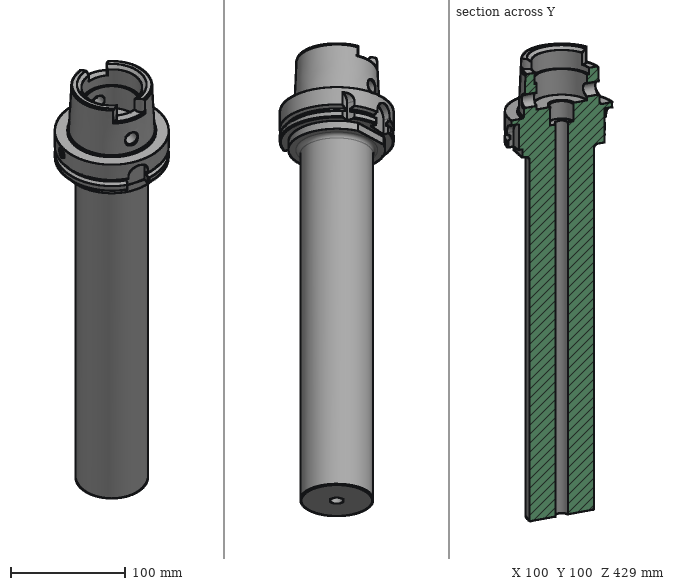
import cadquery as cq
import math

TOTAL_LENGTH = 429.0
SHANK_HEIGHT = 50.0
BOTTOM_Z = SHANK_HEIGHT - TOTAL_LENGTH

TAPER_BASE_RADIUS = 37.7
TAPER_TOP_RADIUS = 35.5
RIM_CHAMFER_WIDTH = 1.0
RIM_CHAMFER_HEIGHT = 1.7
BASE_FLARE = 1.5

FLANGE_DIAMETER = 100.0
FLANGE_RADIUS = FLANGE_DIAMETER / 2
FLANGE_THICKNESS = 29.0
GROOVE_FLOOR_RADIUS = 46.5
FLANGE_CHAMFER = 1.0
GROOVE_MID_Z = -20.0
GROOVE_MOUTH = 6.5
GROOVE_FLOOR_WIDTH = 2.0

COLLAR_RADIUS = 42.5
COLLAR_THICKNESS = 7.7
COLLAR_FLAT_DISTANCE = 38.5
COLLAR_FLAT_TURN = -6.0
BAR_DIAMETER = 64.0
BAR_RADIUS = BAR_DIAMETER / 2
BAR_FILLET = 4.0
BAR_CHAMFER = 1.0

MOUTH_RADIUS = 30.5
MOUTH_CHAMFER_DEPTH = 3.0
UPPER_BORE_RADIUS = 26.5
UPPER_BORE_FLOOR_Z = 30.0
BORE_RADIUS = 25.0
BORE_FLOOR_Z = 6.0
TUBE_SEAT_RADIUS = 11.0
TUBE_SEAT_CHAMFER = 1.0
TUBE_SEAT_DEPTH = 17.0
COOLANT_HOLE_RADIUS = 6.0

DRIVE_SLOT_WIDTH = 19.0
DRIVE_SLOT_ROUND = 6.5
DRIVE_SLOT_DEPTHS = {-1: 9.5, 1: 14.0}
DRIVE_SLOT_CHAMFER = 1.5

CROSS_HOLE_RADIUS = 6.0
CROSS_HOLE_Z = 15.5
COUNTERSINK = 1.0

KEY_SLOT_WIDTH = 19.7
KEY_SLOT_TOP_Z = -5.0
KEY_SLOT_FLOOR_X = 42.5
KEY_SLOT_EDGE_CHAMFER = 1.7

NOTCH_RADIUS = 7.7
NOTCH_Y = 39.0
NOTCH_TOP_Z = -4.7
NOTCH_FLOOR_X = -31.5

CHIP_RADIUS = 4.7
CHIP_MID_Z = -7.0
CHIP_FACE_Y = -48.5
CHIP_THICKNESS = 4.0
CHIP_HOLE_RADIUS = 1.0

FLANGE_BOTTOM_Z = -FLANGE_THICKNESS
COLLAR_BOTTOM_Z = FLANGE_BOTTOM_Z - COLLAR_THICKNESS


def taper_radius(z):
    """Outer radius of the shank taper at height z."""
    return TAPER_BASE_RADIUS - (TAPER_BASE_RADIUS - TAPER_TOP_RADIUS) * z / SHANK_HEIGHT


def make_turned_body():
    """Revolved outline of the shank, flange, collar and bar, still without the bore."""
    fillet_end = BAR_RADIUS + BAR_FILLET
    fillet_inset = BAR_FILLET * (1 - math.sqrt(0.5))
    return (
        cq.Workplane("XZ")
        .moveTo(0, BOTTOM_Z)
        .lineTo(BAR_RADIUS - BAR_CHAMFER, BOTTOM_Z)
        .lineTo(BAR_RADIUS, BOTTOM_Z + BAR_CHAMFER)
        .lineTo(BAR_RADIUS, COLLAR_BOTTOM_Z - BAR_FILLET)
        .threePointArc(
            (BAR_RADIUS + fillet_inset, COLLAR_BOTTOM_Z - fillet_inset),
            (fillet_end, COLLAR_BOTTOM_Z),
        )
        .lineTo(COLLAR_RADIUS, COLLAR_BOTTOM_Z)
        .lineTo(COLLAR_RADIUS, FLANGE_BOTTOM_Z)
        .lineTo(FLANGE_RADIUS - FLANGE_CHAMFER, FLANGE_BOTTOM_Z)
        .lineTo(FLANGE_RADIUS, FLANGE_BOTTOM_Z + FLANGE_CHAMFER)
        .lineTo(FLANGE_RADIUS, GROOVE_MID_Z - GROOVE_MOUTH / 2)
        .lineTo(GROOVE_FLOOR_RADIUS, GROOVE_MID_Z - GROOVE_FLOOR_WIDTH / 2)
        .lineTo(GROOVE_FLOOR_RADIUS, GROOVE_MID_Z + GROOVE_FLOOR_WIDTH / 2)
        .lineTo(FLANGE_RADIUS, GROOVE_MID_Z + GROOVE_MOUTH / 2)
        .lineTo(FLANGE_RADIUS, 0)
        .lineTo(TAPER_BASE_RADIUS + BASE_FLARE, 0)
        .lineTo(TAPER_BASE_RADIUS, BASE_FLARE)
        .lineTo(TAPER_TOP_RADIUS, SHANK_HEIGHT - RIM_CHAMFER_HEIGHT)
        .lineTo(TAPER_TOP_RADIUS - RIM_CHAMFER_WIDTH, SHANK_HEIGHT)
        .lineTo(0, SHANK_HEIGHT)
        .close()
        .revolve(360, (0, 0), (0, 1))
    )


def make_bore():
    """Revolved cutter for the stepped bore with its mouth chamfer, the tube seat and the coolant hole."""
    seat_floor = BORE_FLOOR_Z - TUBE_SEAT_DEPTH
    return (
        cq.Workplane("XZ")
        .moveTo(0, BOTTOM_Z)
        .lineTo(COOLANT_HOLE_RADIUS, BOTTOM_Z)
        .lineTo(COOLANT_HOLE_RADIUS, seat_floor)
        .lineTo(TUBE_SEAT_RADIUS, seat_floor)
        .lineTo(TUBE_SEAT_RADIUS, BORE_FLOOR_Z - TUBE_SEAT_CHAMFER)
        .lineTo(TUBE_SEAT_RADIUS + TUBE_SEAT_CHAMFER, BORE_FLOOR_Z)
        .lineTo(BORE_RADIUS, BORE_FLOOR_Z)
        .lineTo(BORE_RADIUS, UPPER_BORE_FLOOR_Z)
        .lineTo(UPPER_BORE_RADIUS, UPPER_BORE_FLOOR_Z)
        .lineTo(UPPER_BORE_RADIUS, SHANK_HEIGHT - MOUTH_CHAMFER_DEPTH)
        .lineTo(MOUTH_RADIUS, SHANK_HEIGHT)
        .lineTo(0, SHANK_HEIGHT)
        .close()
        .revolve(360, (0, 0), (0, 1))
    )


def make_drive_slot(side):
    """Cutter for a rim slot on one X side, flaring outwards through rounded corners."""
    half_width = DRIVE_SLOT_WIDTH / 2
    flare = half_width + DRIVE_SLOT_ROUND
    outer_x = math.sqrt(TAPER_TOP_RADIUS**2 - flare**2)
    round_start_x = outer_x - DRIVE_SLOT_ROUND
    depth = DRIVE_SLOT_DEPTHS[side]
    arc_inset = DRIVE_SLOT_ROUND * (1 - math.sqrt(0.5))
    arc_x = outer_x - arc_inset
    arc_y = half_width + arc_inset
    slot = (
        cq.Workplane("XY")
        .workplane(offset=SHANK_HEIGHT - depth)
        .moveTo(0, -half_width)
        .lineTo(round_start_x, -half_width)
        .threePointArc((arc_x, -arc_y), (outer_x, -flare))
        .lineTo(FLANGE_RADIUS, -flare)
        .lineTo(FLANGE_RADIUS, flare)
        .lineTo(outer_x, flare)
        .threePointArc((arc_x, arc_y), (round_start_x, half_width))
        .lineTo(0, half_width)
        .close()
        .extrude(depth)
    )
    return slot if side > 0 else slot.mirror("YZ")


def make_slot_floor_chamfer(side):
    """Conical cutter for the outer edge of a drive slot's floor."""
    floor_z = SHANK_HEIGHT - DRIVE_SLOT_DEPTHS[side]
    inner_radius = taper_radius(floor_z) - DRIVE_SLOT_CHAMFER
    flare = DRIVE_SLOT_WIDTH / 2 + DRIVE_SLOT_ROUND
    ring = (
        cq.Workplane("XZ")
        .moveTo(inner_radius, floor_z)
        .lineTo(FLANGE_RADIUS, floor_z)
        .lineTo(FLANGE_RADIUS, floor_z - FLANGE_RADIUS + inner_radius)
        .close()
        .revolve(360, (0, 0), (0, 1))
    )
    slot_space = cq.Workplane("XY").box(
        FLANGE_RADIUS, 2 * flare, SHANK_HEIGHT, centered=(False, True, False)
    )
    chamfer = ring.intersect(slot_space)
    return chamfer if side > 0 else chamfer.mirror("YZ")


def make_round_top_slot(mid_y, half_width, top_z, start_x, length):
    """Slot cutter along +X with a round top, open at the underside of the flange."""
    arc_z = top_z - half_width
    return (
        cq.Workplane("YZ")
        .workplane(offset=start_x)
        .moveTo(mid_y - half_width, FLANGE_BOTTOM_Z)
        .lineTo(mid_y - half_width, arc_z)
        .threePointArc((mid_y, top_z), (mid_y + half_width, arc_z))
        .lineTo(mid_y + half_width, FLANGE_BOTTOM_Z)
        .close()
        .extrude(length)
    )


def make_key_slots():
    """Cutters for the two opposite key slots in the flange."""
    slot = make_round_top_slot(0, KEY_SLOT_WIDTH / 2, KEY_SLOT_TOP_Z, KEY_SLOT_FLOOR_X, FLANGE_RADIUS)
    slot = slot.union(make_key_slot_bevel())
    return slot.union(slot.mirror("YZ"))


def make_key_slot_bevel():
    """Cutter that bevels the side edges of the +X key slot, from the gripper groove down."""
    half_width = KEY_SLOT_WIDTH / 2
    corner_x = math.sqrt(FLANGE_RADIUS**2 - half_width**2)
    inner_x = corner_x - KEY_SLOT_EDGE_CHAMFER
    outer_half_width = half_width + FLANGE_RADIUS - inner_x
    return (
        cq.Workplane("XY")
        .workplane(offset=FLANGE_BOTTOM_Z)
        .moveTo(inner_x, -half_width)
        .lineTo(FLANGE_RADIUS, -outer_half_width)
        .lineTo(FLANGE_RADIUS, outer_half_width)
        .lineTo(inner_x, half_width)
        .close()
        .extrude(GROOVE_MID_Z + GROOVE_MOUTH / 2 - FLANGE_BOTTOM_Z)
    )


def make_index_notch():
    """Cutter for the single notch beside the -X key slot."""
    return make_round_top_slot(
        NOTCH_Y, NOTCH_RADIUS, NOTCH_TOP_Z, NOTCH_FLOOR_X - FLANGE_RADIUS, FLANGE_RADIUS
    )


def make_cross_hole():
    """Cutter for the hole across the shank along X, countersunk at both ends."""
    wall_x = taper_radius(CROSS_HOLE_Z)
    end_radius = CROSS_HOLE_RADIUS + COUNTERSINK
    half = (
        cq.Workplane("XY")
        .lineTo(0, CROSS_HOLE_RADIUS)
        .lineTo(wall_x - COUNTERSINK, CROSS_HOLE_RADIUS)
        .lineTo(wall_x, end_radius)
        .lineTo(FLANGE_RADIUS, end_radius)
        .lineTo(FLANGE_RADIUS, 0)
        .close()
        .revolve(360, (0, 0), (1, 0))
        .translate((0, 0, CROSS_HOLE_Z))
    )
    return half.union(half.mirror("YZ"))


def make_collar_flat():
    """Cutter for the flat on the collar, turned about Z by a few degrees from the -X direction."""
    return (
        cq.Workplane("XY")
        .box(FLANGE_RADIUS, 2 * FLANGE_RADIUS, COLLAR_THICKNESS, centered=(False, True, False))
        .translate((-COLLAR_FLAT_DISTANCE - FLANGE_RADIUS, 0, COLLAR_BOTTOM_Z))
        .rotate((0, 0, 0), (0, 0, 1), COLLAR_FLAT_TURN)
    )


def make_chip_cylinder(radius, front_y):
    """Cylinder along +Y from a front plane to the back of the chip pocket."""
    return (
        cq.Workplane("XZ", origin=(0, front_y, CHIP_MID_Z))
        .circle(radius)
        .extrude(-(CHIP_FACE_Y + CHIP_THICKNESS - front_y))
    )


def make_holder():
    """Tool holder blank with all its cut features."""
    holder = make_turned_body().cut(make_bore())
    for side in DRIVE_SLOT_DEPTHS:
        holder = holder.cut(make_drive_slot(side))
        holder = holder.cut(make_slot_floor_chamfer(side))
    holder = holder.cut(make_cross_hole())
    holder = holder.cut(make_key_slots())
    holder = holder.cut(make_index_notch())
    holder = holder.cut(make_collar_flat())
    return holder.cut(make_chip_cylinder(CHIP_RADIUS, -FLANGE_RADIUS))


def make_chip():
    """Data chip: a disc with a small centre hole, seated in the flange."""
    disc = make_chip_cylinder(CHIP_RADIUS, CHIP_FACE_Y)
    return disc.cut(make_chip_cylinder(CHIP_HOLE_RADIUS, CHIP_FACE_Y))


holder = make_holder()
chip = make_chip()
result = cq.Compound.makeCompound([holder.val(), chip.val()])